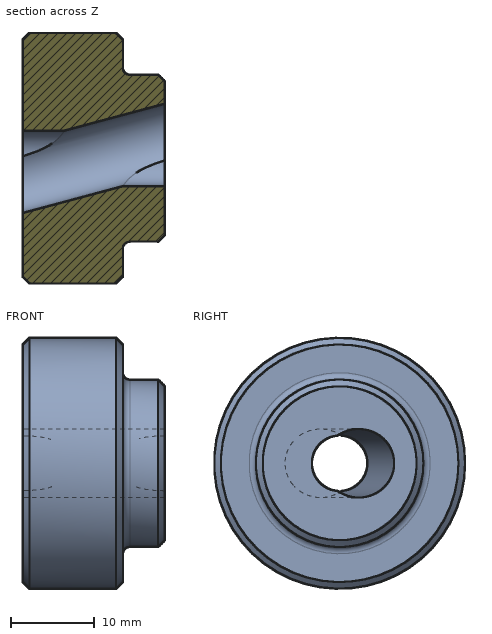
import cadquery as cq

disc_diameter = 30.0
disc_width = 12.0
hub_diameter = 20.0
total_length = 17.0
edge_size = 0.8
bore_diameter = 6.6
slip_hole_diameter = 8.2
slip_hole_tilt = 15.0
cutter_length = 2 * total_length


def chamfered_cylinder(diameter, length):
    """Cylinder along +X from X = 0 with its far edge chamfered."""
    cylinder = cq.Workplane("YZ").circle(diameter / 2).extrude(length)
    return cylinder.faces(">X").chamfer(edge_size)


def through_hole(diameter, tilt):
    """Cutter centred at mid-length of the axis, tilted in the XY plane."""
    middle = total_length / 2
    start_plane = cq.Workplane("YZ").workplane(offset=-cutter_length / 2)
    cutter = start_plane.circle(diameter / 2).extrude(cutter_length)
    return cutter.rotate((0, 0, 0), (0, 0, 1), tilt).translate((middle, 0, 0))


disc = chamfered_cylinder(disc_diameter, disc_width).faces("<X").chamfer(edge_size)
hub = chamfered_cylinder(hub_diameter, total_length)
body = disc.union(hub)

shoulder = cq.selectors.BoxSelector(
    (disc_width - edge_size / 2, -hub_diameter, -hub_diameter),
    (disc_width + edge_size / 2, hub_diameter, hub_diameter),
)
hub_root = cq.selectors.RadiusNthSelector(0)
body = body.edges(shoulder).edges(hub_root).fillet(edge_size)

result = (
    body
    .cut(through_hole(bore_diameter, 0))
    .cut(through_hole(slip_hole_diameter, slip_hole_tilt))
)